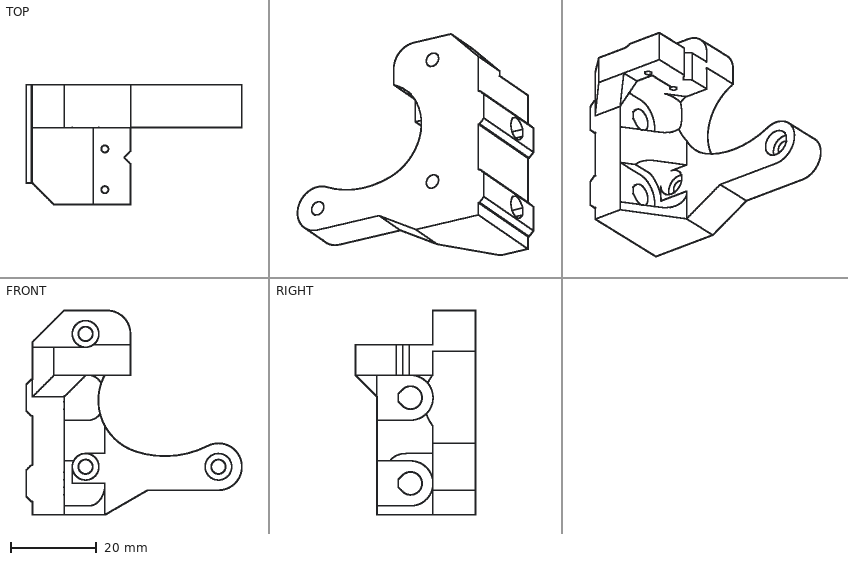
import cadquery as cq
import math


plate_depth = 10.0
screw_pitch = 31.0
screw_offset = screw_pitch / 2
ear_radius = 5.5
plate_top = screw_offset + ear_radius
plate_bottom = -plate_top
plate_right = -5.0
bore_radius = 12.5
blend_radius = 22.0
screw_hole_radius = 3.3 / 2
screw_head_radius = 6.2 / 2
screw_head_seat = 7.0
screw_places = [
    (-screw_offset, screw_offset),
    (-screw_offset, -screw_offset),
    (screw_offset, -screw_offset),
]

wall_left = -27.9
wall_inner = -20.5
wall_depth = 23.0
wall_thickness = wall_inner - wall_left
overall_height = 47.75
wall_bottom = plate_top - overall_height

wedge_right = -11.0
brace_angle = 30.0

rail_height = 1.5
rail_base_width = 8.5
rail_chamfer = 1.2
rail_pitch = 20.0
rail_inset = 7.37
lower_rail_z = wall_bottom + rail_inset
rail_heights = [lower_rail_z, lower_rail_z + rail_pitch]

bolt_y = -15.15
bolt_radius = 2.65
bolt_flat = 2.85
bolt_head_radius = 5.25

notch_left = -screw_offset - screw_head_radius

shelf_front = 28.0
shelf_top = 13.0
shelf_step_top = screw_offset - screw_head_radius
shelf_underside = 5.8
overhang = shelf_front - wall_depth
switch_hole_radius = 1.6 / 2
switch_hole_x = -11.0
switch_hole_y = [-15.0, -24.5]
vee_y = -17.0
vee_depth = 1.5


def front_plane(y):
    """XZ workplane at the given Y whose extrusions run toward -Y."""
    return cq.Workplane("XZ", origin=(0, y, 0))


def box(x0, x1, y0, y1, z0, z1):
    """Box between two limits on each axis."""
    return cq.Workplane("XY").box(x1 - x0, y1 - y0, z1 - z0, centered=False).translate((x0, y0, z0))


def plate_outline():
    """Outline with the motor bore, the ear and the arc that blends them."""
    ear_distance = math.hypot(screw_offset, screw_offset)
    to_bore = blend_radius - bore_radius
    to_ear = blend_radius + ear_radius
    along = (to_bore**2 - to_ear**2 + ear_distance**2) / (2 * ear_distance)
    across = math.sqrt(to_bore**2 - along**2)
    blend_x = (along + across) / math.sqrt(2)
    blend_z = (across - along) / math.sqrt(2)

    bore_touch = (-blend_x * bore_radius / to_bore, -blend_z * bore_radius / to_bore)
    ear_share = ear_radius / to_ear
    ear_touch = (
        screw_offset + (blend_x - screw_offset) * ear_share,
        -screw_offset + (blend_z + screw_offset) * ear_share,
    )
    mid_x = (bore_touch[0] + ear_touch[0]) / 2
    blend_mid = (mid_x, blend_z - math.sqrt(blend_radius**2 - (mid_x - blend_x) ** 2))

    bore_start = (plate_right, math.sqrt(bore_radius**2 - plate_right**2))
    ear_side = (screw_offset + ear_radius, -screw_offset)
    brace_run = (plate_bottom - wall_bottom) / math.tan(math.radians(brace_angle))
    corner_shift = ear_radius * (1 - math.sqrt(0.5))

    return (
        front_plane(0)
        .moveTo(wall_left, wall_bottom)
        .lineTo(wall_left, plate_top - wall_thickness)
        .lineTo(wall_inner, plate_top)
        .lineTo(plate_right - ear_radius, plate_top)
        .threePointArc(
            (plate_right - corner_shift, plate_top - corner_shift),
            (plate_right, plate_top - ear_radius),
        )
        .lineTo(*bore_start)
        .threePointArc((-bore_radius, 0), bore_touch)
        .threePointArc(blend_mid, ear_touch)
        .threePointArc(ear_side, (screw_offset, plate_bottom))
        .lineTo(wedge_right + brace_run, plate_bottom)
        .lineTo(wedge_right, wall_bottom)
        .close()
    )


def wall_and_wedge():
    """Wall with a sloping wedge back to the plate, relieved around the motor bore."""
    profile = [
        (wall_left, 0),
        (wall_left, -wall_depth),
        (wall_inner, -wall_depth),
        (wedge_right, -plate_depth),
        (wedge_right, 0),
    ]
    body = (
        cq.Workplane("XY", origin=(0, 0, wall_bottom))
        .polyline(profile)
        .close()
        .extrude(shelf_step_top - wall_bottom)
    )
    return body.cut(front_plane(0).circle(bore_radius).extrude(wall_depth))


def rail(z):
    """Rail along Y with chamfered outer edges."""
    base = rail_base_width / 2
    tip = base - rail_chamfer
    shoulder_x = wall_left - rail_height + rail_chamfer
    profile = [
        (wall_left, z - base),
        (shoulder_x, z - base),
        (wall_left - rail_height, z - tip),
        (wall_left - rail_height, z + tip),
        (shoulder_x, z + base),
        (wall_left, z + base),
    ]
    return front_plane(0).polyline(profile).close().extrude(wall_depth)


def shelf():
    """Shelf in front of the plate, with a gusset on the wall and a chamfered overhang."""
    profile = [
        (wall_left, shelf_underside - overhang),
        (wall_inner, shelf_underside - overhang),
        (wall_inner + overhang, shelf_underside),
        (plate_right, shelf_underside),
        (plate_right, shelf_top),
        (-screw_offset, shelf_top),
        (-screw_offset, shelf_step_top),
        (wall_left, shelf_step_top),
    ]
    body = front_plane(-plate_depth).polyline(profile).close().extrude(shelf_front - plate_depth)

    corner = [
        (wall_left, -wall_depth),
        (wall_left, -shelf_front),
        (wall_left + overhang, -shelf_front),
    ]
    body = body.cut(
        cq.Workplane("XY", origin=(0, 0, wall_bottom))
        .polyline(corner)
        .close()
        .extrude(plate_top - wall_bottom)
    )

    underside = [
        (-wall_depth, shelf_underside - overhang),
        (-shelf_front, shelf_underside - overhang),
        (-shelf_front, shelf_underside),
    ]
    return body.cut(
        cq.Workplane("YZ", origin=(wall_left, 0, 0))
        .polyline(underside)
        .close()
        .extrude(plate_right - wall_left)
    )


def switch_cuts():
    """Two switch holes and a small vee in the free edge of the shelf."""
    base = cq.Workplane("XY", origin=(0, 0, shelf_underside))
    height = shelf_top - shelf_underside
    holes = (
        base.pushPoints([(switch_hole_x, y) for y in switch_hole_y])
        .circle(switch_hole_radius)
        .extrude(height)
    )
    vee = [
        (plate_right, vee_y + vee_depth),
        (plate_right - vee_depth, vee_y),
        (plate_right, vee_y - vee_depth),
    ]
    return holes.union(base.polyline(vee).close().extrude(height))


def bolt_hole(z):
    """Hole along X with a flat-tipped teardrop toward -Y."""
    tangent = bolt_radius * math.sqrt(0.5)
    flat_half = bolt_radius * math.sqrt(2) - bolt_flat
    start = cq.Workplane("YZ", origin=(wall_left - rail_height, bolt_y, z))
    length = wall_inner - wall_left + rail_height
    tip = [
        (0, 0),
        (-tangent, tangent),
        (-bolt_flat, flat_half),
        (-bolt_flat, -flat_half),
        (-tangent, -tangent),
    ]
    hole = start.circle(bolt_radius).extrude(length)
    return hole.union(start.polyline(tip).close().extrude(length))


def bolt_head_pocket(z):
    """Round-bottomed pocket beside the wall, open toward -Y."""
    round_bottom = (
        cq.Workplane("YZ", origin=(wall_inner, bolt_y, z))
        .circle(bolt_head_radius)
        .extrude(wedge_right - wall_inner)
    )
    opening = box(
        wall_inner, wedge_right, -wall_depth, bolt_y, z - bolt_head_radius, z + bolt_head_radius
    )
    return round_bottom.union(opening)


def screw_pad(y, depth):
    """Prism around the lower left plate screw, squared off toward the wedge edge."""
    head = front_plane(y).center(-screw_offset, -screw_offset).circle(screw_head_radius).extrude(depth)
    upper = box(
        -screw_offset, wedge_right, y - depth, y, -screw_offset, screw_head_radius - screw_offset
    )
    lower = box(notch_left, wedge_right, y - depth, y, lower_rail_z, -screw_offset)
    return head.union(upper).union(lower)


def plate_screw(x, z):
    """Through hole and head recess; the recess runs on to clear a screwdriver."""
    hole = front_plane(0).center(x, z).circle(screw_hole_radius).extrude(plate_depth)
    recess = (
        front_plane(-screw_head_seat)
        .center(x, z)
        .circle(screw_head_radius)
        .extrude(shelf_front - screw_head_seat)
    )
    return hole.union(recess)


result = plate_outline().extrude(plate_depth).union(wall_and_wedge())
result = result.union(shelf())
for rail_z in rail_heights:
    result = result.union(rail(rail_z))

kept_pad = screw_pad(0, plate_depth)
for rail_z in rail_heights:
    result = result.cut(bolt_hole(rail_z))
    result = result.cut(bolt_head_pocket(rail_z).cut(kept_pad))

result = result.cut(screw_pad(-plate_depth, wall_depth - plate_depth))
result = result.cut(switch_cuts())
for screw_x, screw_z in screw_places:
    result = result.cut(plate_screw(screw_x, screw_z))